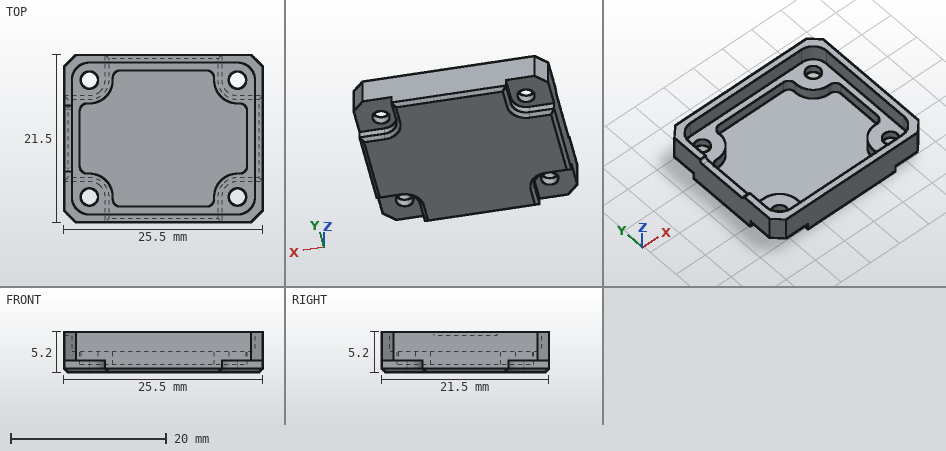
import cadquery as cq
import math

LENGTH = 25.5
WIDTH = 21.5
HEIGHT = 5.2
CORNER_CHAMFER = 1.5
BASE_CHAMFER = 0.5

HOLE_DIAMETER = 2.2
HOLE_X = 9.5
HOLE_Y = 7.5
BOSS_RADIUS = 3.0

RELIEF_HEIGHT = 1.5
RELIEF_RADIUS = 2.0

WALL = 1.0
LEDGE_WIDTH = 1.0
LEDGE_DEPTH = 2.5
FLOOR_THICKNESS = 1.0
POCKET_FILLET = 1.0

NOTCH_LENGTH = 8.5
NOTCH_DEPTH = 0.5

RECESS_LENGTH = LENGTH - 2 * WALL
RECESS_WIDTH = WIDTH - 2 * WALL
RECESS_RADIUS = RECESS_LENGTH / 2 - HOLE_X
LEDGE_Z = HEIGHT - LEDGE_DEPTH
POCKET_LENGTH = RECESS_LENGTH - 2 * LEDGE_WIDTH
POCKET_WIDTH = RECESS_WIDTH - 2 * LEDGE_WIDTH
CORNER_SIGNS = [(sx, sy) for sx in (-1, 1) for sy in (-1, 1)]
HOLE_CENTERS = [(sx * HOLE_X, sy * HOLE_Y) for sx, sy in CORNER_SIGNS]


def corner_relief(sx, sy):
    """Block filling one underside corner, its inner edge rounded about the screw hole."""
    inner_x = sx * (HOLE_X - RELIEF_RADIUS)
    inner_y = sy * (HOLE_Y - RELIEF_RADIUS)
    hole_x = sx * HOLE_X
    hole_y = sy * HOLE_Y
    outer_x = sx * LENGTH / 2
    outer_y = sy * WIDTH / 2
    diagonal = RELIEF_RADIUS * math.sqrt(0.5)
    arc_middle = (hole_x - sx * diagonal, hole_y - sy * diagonal)
    return (
        cq.Workplane("XY")
        .moveTo(outer_x, outer_y)
        .lineTo(inner_x, outer_y)
        .lineTo(inner_x, hole_y)
        .threePointArc(arc_middle, (hole_x, inner_y))
        .lineTo(outer_x, inner_y)
        .close()
        .extrude(RELIEF_HEIGHT)
    )


def make_body():
    """Plate with relieved underside corners, a chamfered base and cut vertical corners."""
    body = cq.Workplane("XY").box(LENGTH, WIDTH, HEIGHT, centered=(True, True, False))
    body = body.edges("|Z").chamfer(CORNER_CHAMFER)
    for sx, sy in CORNER_SIGNS:
        body = body.cut(corner_relief(sx, sy))
    return body.faces("<Z").edges().chamfer(BASE_CHAMFER)


def make_recess():
    """Rounded rectangular recess, open at the top, whose floor is the ledge."""
    return (
        cq.Workplane("XY", origin=(0, 0, LEDGE_Z))
        .rect(RECESS_LENGTH, RECESS_WIDTH)
        .extrude(LEDGE_DEPTH)
        .edges("|Z")
        .fillet(RECESS_RADIUS)
    )


def make_pocket():
    """Deeper pocket that leaves a round boss about every screw hole, blended into its walls."""
    depth = LEDGE_Z - FLOOR_THICKNESS
    floor_plane = cq.Workplane("XY", origin=(0, 0, FLOOR_THICKNESS))
    bosses = floor_plane.pushPoints(HOLE_CENTERS).circle(BOSS_RADIUS).extrude(depth)
    pocket = floor_plane.rect(POCKET_LENGTH, POCKET_WIDTH).extrude(depth).cut(bosses)
    return pocket.edges("|Z").fillet(POCKET_FILLET)


def make_holes():
    """Through holes for the four screws."""
    return cq.Workplane("XY").pushPoints(HOLE_CENTERS).circle(HOLE_DIAMETER / 2).extrude(HEIGHT)


def make_notch():
    """Shallow notch across the -X wall, its ends quarter rounds as tall as the notch is deep."""
    half_length = NOTCH_LENGTH / 2
    half_floor = half_length - NOTCH_DEPTH
    floor_z = HEIGHT - NOTCH_DEPTH
    diagonal = NOTCH_DEPTH * math.sqrt(0.5)
    arc_middle_y = half_floor + diagonal
    arc_middle_z = HEIGHT - diagonal
    return (
        cq.Workplane("YZ", origin=(-LENGTH / 2, 0, 0))
        .moveTo(-half_length, HEIGHT)
        .threePointArc((-arc_middle_y, arc_middle_z), (-half_floor, floor_z))
        .lineTo(half_floor, floor_z)
        .threePointArc((arc_middle_y, arc_middle_z), (half_length, HEIGHT))
        .close()
        .extrude(WALL)
    )


result = make_body().cut(make_recess()).cut(make_pocket()).cut(make_holes()).cut(make_notch())